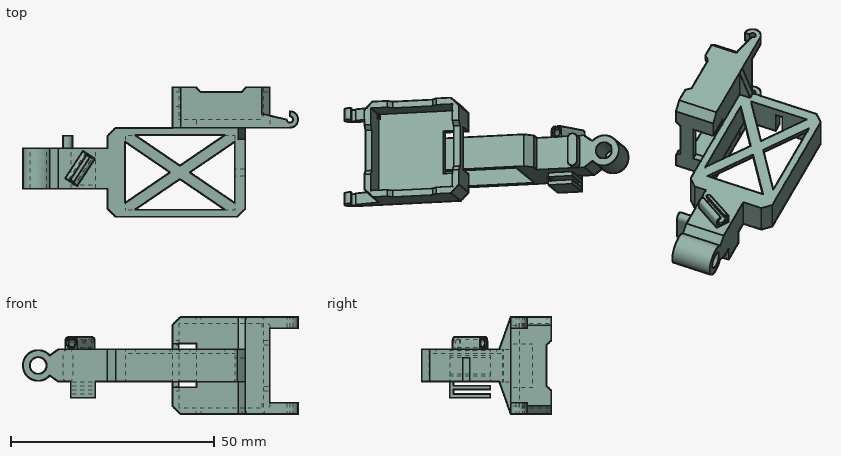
import cadquery as cq
import math


total_length = 67.8
box_height = 24.0
box_depth = 10.05
tray_width = 22.0

eye_radius = 3.8
eye_hole_radius = 2.05
arm_width = 10.05
arm_thickness = 8.0
arm_center_y = -10.05
neck_start_x = 2.85
neck_end_x = 4.95

tray_start_x = 17.0
tray_length = 34.0
tray_corner = 2.05
tray_side_wall = 1.8
tray_near_wall = 4.4
tray_far_wall = 2.65
brace_width = 2.8
brace_thickness = 1.0
slot_width = 1.75
slot_roof = 2.1

box_start_x = 33.0
box_length = 24.0
box_corner = 2.05
box_wall = 1.6
box_front_wall = 2.1
rim_notch_bottom = 10.1
rim_notch_top = 12.4
rim_notch_depth = 1.2
window_length = 5.9
window_depth = 5.35
window_height = 10.7

hook_radius = 2.05
hook_inner_radius = 0.75
hook_arm_height = 2.85
hook_arm_root_height = 3.45

gusset_thickness = 1.7
gusset_foot = 2.85

comb_start_x = 8.0
comb_length = 6.1
comb_drop = 4.0
finger_thickness = 1.0

tab_center_x = 7.25
tab_thickness = 2.4
tab_projection = 3.05
tab_rounding = 1.15

clip_center_x = 10.3
clip_length = 8.0
clip_width = 3.5
clip_height = 3.05
clip_rounding = 1.1
clip_angle = 57.0
clip_bore_radius = 1.0
clip_bore_height = 1.55
clip_mouth_width = 1.0
clip_lead_in = 0.35

half_arm = arm_thickness / 2
half_box = box_height / 2
tray_end_x = tray_start_x + tray_length
tray_center_y = -tray_width / 2
box_end_x = box_start_x + box_length
box_center_x = box_start_x + box_length / 2
arm_side_y = arm_center_y + arm_width / 2
arm_outer_y = arm_center_y - arm_width / 2
hook_center_x = total_length - eye_radius - hook_radius


def block(x_range, y_range, z_range):
    """Box spanning the given ranges."""
    size = [high - low for low, high in (x_range, y_range, z_range)]
    return cq.Workplane("XY").box(*size, centered=False).translate(
        (x_range[0], y_range[0], z_range[0])
    )


def xz_prism(points, y_range):
    """Extrude an outline given in X and Z between two Y positions."""
    profile = cq.Workplane("XZ", origin=(0, y_range[1], 0)).polyline(points).close()
    return profile.extrude(y_range[1] - y_range[0])


def make_arm():
    y_range = (arm_outer_y, arm_side_y)
    neck_half = math.sqrt(eye_radius**2 - neck_start_x**2)
    arm = xz_prism(
        [
            (neck_start_x, neck_half),
            (neck_end_x, half_arm),
            (tray_start_x, half_arm),
            (tray_start_x, -half_arm),
            (neck_end_x, -half_arm),
            (neck_start_x, -neck_half),
        ],
        y_range,
    )
    eye_plane = cq.Workplane("XZ", origin=(0, arm_side_y, 0))
    eye = eye_plane.circle(eye_radius).extrude(arm_width)
    hole = eye_plane.circle(eye_hole_radius).extrude(arm_width)
    return arm.union(eye).cut(hole)


def make_tray():
    tray = block((tray_start_x, tray_end_x), (-tray_width, 0), (-half_arm, half_arm))
    tray = tray.edges("|Z and (<X or <Y)").chamfer(tray_corner)

    opening_start_x = tray_start_x + tray_near_wall
    opening_end_x = tray_end_x - tray_far_wall
    opening_length = opening_end_x - opening_start_x
    opening_width = tray_width - 2 * tray_side_wall
    opening_center_x = (opening_start_x + opening_end_x) / 2
    opening = block(
        (opening_start_x, opening_end_x),
        (-tray_width + tray_side_wall, -tray_side_wall),
        (-half_arm, half_arm),
    )
    tray = tray.cut(opening)

    diagonal = math.hypot(opening_length, opening_width)
    diagonal_angle = math.degrees(math.atan2(opening_width, opening_length))
    for angle in (diagonal_angle, -diagonal_angle):
        brace = (
            cq.Workplane("XY")
            .box(diagonal + brace_width, brace_width, brace_thickness)
            .rotate((0, 0, 0), (0, 0, 1), angle)
            .translate((opening_center_x, tray_center_y, half_arm - brace_thickness / 2))
        )
        tray = tray.union(brace.intersect(opening))

    slot = block(
        (opening_end_x, tray_end_x),
        (tray_center_y - slot_width / 2, tray_center_y + slot_width / 2),
        (-half_arm, half_arm - slot_roof),
    )
    return tray.cut(slot)


def rim_notch():
    """Tapered groove along Z through the rim of a box centered on X = 0."""
    return (
        cq.Workplane("XY", origin=(0, 0, -half_box))
        .polyline(
            [
                (-rim_notch_top / 2, box_depth),
                (-rim_notch_bottom / 2, box_depth - rim_notch_depth),
                (rim_notch_bottom / 2, box_depth - rim_notch_depth),
                (rim_notch_top / 2, box_depth),
            ]
        )
        .close()
        .extrude(box_height)
    )


def make_holder_box():
    box = block((box_start_x, box_end_x), (0, box_depth), (-half_box, half_box))
    box = box.edges("|Y").chamfer(box_corner)
    cavity = block(
        (box_start_x + box_wall, box_end_x - box_wall),
        (box_front_wall, box_depth),
        (-half_box + box_wall, half_box - box_wall),
    )
    box = box.cut(cavity)

    for angle in (0, 90):
        notch = rim_notch().rotate((0, 0, 0), (0, 1, 0), angle)
        box = box.cut(notch.translate((box_center_x, 0, 0)))

    window = block(
        (box_start_x, box_start_x + window_length),
        (0, window_depth),
        (-window_height / 2, window_height / 2),
    )
    return box.cut(window)


def make_hook_arm():
    """Tapered arm with an open hook at its tip, flush with the top of the box."""
    arm_start_x = box_end_x - box_corner
    return (
        cq.Workplane("XY", origin=(0, 0, half_box - hook_arm_height))
        .moveTo(arm_start_x, 0)
        .lineTo(hook_center_x, 0)
        .threePointArc((hook_center_x + hook_radius, hook_radius), (hook_center_x, 2 * hook_radius))
        .lineTo(hook_center_x, hook_radius + hook_inner_radius)
        .threePointArc(
            (hook_center_x + hook_inner_radius * math.sqrt(0.5),
             hook_radius - hook_inner_radius * math.sqrt(0.5)),
            (hook_center_x - hook_inner_radius, hook_radius),
        )
        .lineTo(arm_start_x, hook_arm_root_height)
        .close()
        .extrude(hook_arm_height)
    )


def make_gusset():
    """Triangular web from the top edge of the box down to the tray."""
    return (
        cq.Workplane("YZ", origin=(tray_end_x - gusset_thickness, 0, 0))
        .polyline([(0, half_arm), (-gusset_foot, half_arm), (0, half_box)])
        .close()
        .extrude(gusset_thickness)
    )


def make_comb():
    """Spine below the arm with two fingers, at mid height and at the bottom."""
    x_range = (comb_start_x, comb_start_x + comb_length)
    comb_bottom = -half_arm - comb_drop
    comb = block(x_range, (arm_outer_y, arm_outer_y + finger_thickness), (comb_bottom, -half_arm))
    for finger_bottom in (comb_bottom, comb_bottom + 2 * finger_thickness):
        z_range = (finger_bottom, finger_bottom + finger_thickness)
        comb = comb.union(block(x_range, (arm_outer_y, arm_side_y), z_range))
    return comb


def make_tab():
    tab = block(
        (tab_center_x - tab_thickness / 2, tab_center_x + tab_thickness / 2),
        (arm_side_y, arm_side_y + tab_projection),
        (-half_arm, half_arm),
    )
    return tab.edges("|Y").fillet(tab_rounding)


def make_clip():
    """Block with a lengthwise wire bore that opens upward through a narrow mouth."""
    clip = cq.Workplane("XY").box(clip_length, clip_width, clip_height, centered=(True, True, False))
    clip = clip.edges("|X and >Z").fillet(clip_rounding)
    end_plane = cq.Workplane("YZ", origin=(-clip_length / 2, 0, 0))
    bore = end_plane.center(0, clip_bore_height).circle(clip_bore_radius).extrude(clip_length)
    mouth = cq.Workplane("XY", origin=(0, 0, clip_bore_height)).box(
        clip_length, clip_mouth_width, clip_height, centered=(True, True, False)
    )
    clip = clip.cut(bore).cut(mouth)

    lead_in = cq.Workplane(
        cq.Solid.makeCone(
            clip_bore_radius + clip_lead_in,
            clip_bore_radius,
            clip_lead_in,
            cq.Vector(-clip_length / 2, 0, clip_bore_height),
            cq.Vector(1, 0, 0),
        )
    )
    clip = clip.cut(lead_in).cut(lead_in.mirror("YZ"))
    return clip.rotate((0, 0, 0), (0, 0, 1), clip_angle).translate(
        (clip_center_x, arm_center_y, half_arm)
    )


hook_arm = make_hook_arm()
gusset = make_gusset()

result = make_arm().union(make_tray()).union(make_holder_box())
for feature in (hook_arm, gusset):
    result = result.union(feature).union(feature.mirror("XY"))
result = result.union(make_comb()).union(make_tab()).union(make_clip())